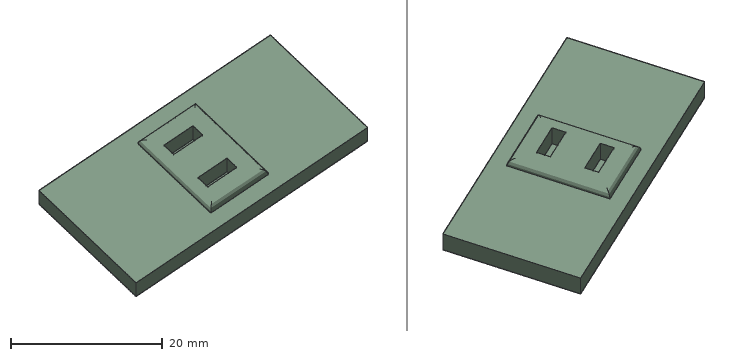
import cadquery as cq

plate_width = 20.0
plate_length = 40.0
plate_thickness = 3.0

socket_width = 15.0
socket_length = 10.0
socket_height = 1.0
socket_top = plate_thickness + socket_height

slot_width = 2.0
slot_length = 5.0
slot_spacing = 7.0
slot_depth = 3.0
slot_offset_y = -0.5


def make_plate():
    return cq.Workplane("XY").box(
        plate_width, plate_length, plate_thickness, centered=(True, True, False)
    )


def make_socket():
    block = cq.Workplane("XY").box(
        socket_width, socket_length, socket_top, centered=(True, True, False)
    )
    return block.faces(">Z").edges().fillet(socket_height)


def make_slots():
    half_spacing = slot_spacing / 2
    return (
        cq.Workplane("XY")
        .workplane(offset=socket_top)
        .pushPoints([(-half_spacing, slot_offset_y), (half_spacing, slot_offset_y)])
        .rect(slot_width, slot_length)
        .extrude(-slot_depth)
    )


result = make_plate().union(make_socket()).cut(make_slots())